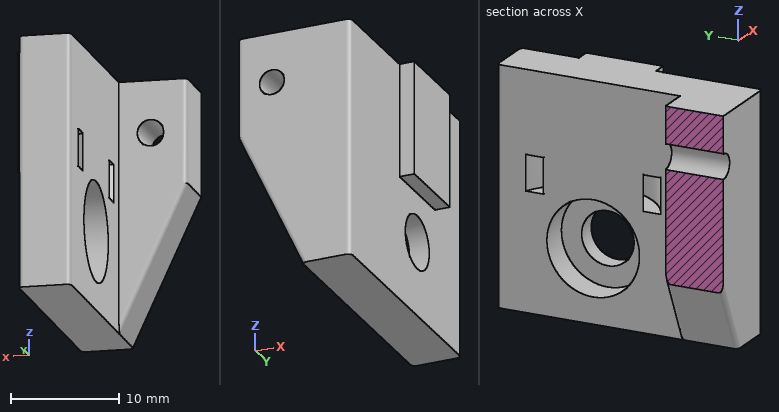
import cadquery as cq

width = 25.0
height = 24.0
body_depth = 11.5
plate_thickness = 5.0
plate_face_x = body_depth - plate_thickness
edge_radius = 0.5

arm_width = 6.0
arm_straight_height = 10.0
pin_diameter = 2.5
pin_x = 3.5
pin_below_top = 5.0

key_depth = 1.5
key_width = 8.0
key_height = 11.5

screw_y = 15.0
screw_z = 7.5
screw_diameter = 5.4
counterbore_diameter = 9.6
counterbore_depth = 3.0

channel_center_x = 3.5
channel_outer_radius = 7.6
channel_inner_radius = 6.0
channel_bottom_z = 12.0
channel_height = 3.6


def make_arm():
    """Tapered arm with rounded long edges, reaching the back of the plate."""
    side_outline = [
        (0, height),
        (body_depth, height),
        (body_depth, 0),
        (plate_face_x, 0),
        (0, height - arm_straight_height),
    ]
    arm = cq.Workplane("XZ").polyline(side_outline).close().extrude(-arm_width)
    front_edges = arm.faces("<X").edges("|Z")
    slope_edges = arm.edges("not(|X or |Y or |Z)")
    back_edge = arm.faces(">X").edges("<Y")
    arm = front_edges.add(slope_edges).add(back_edge).fillet(edge_radius)
    pin_hole = (
        cq.Workplane("XZ")
        .center(pin_x, height - pin_below_top)
        .circle(pin_diameter / 2)
        .extrude(-arm_width)
    )
    return arm.cut(pin_hole)


def make_plate():
    """Plate with its far vertical edges rounded; it starts inside the arm."""
    plate_start_y = arm_width / 2
    return (
        cq.Workplane("XY")
        .box(plate_thickness, width - plate_start_y, height, centered=False)
        .translate((plate_face_x, plate_start_y, 0))
        .edges("|Z and >Y")
        .fillet(edge_radius)
    )


def make_key():
    """Rectangular key flush with the top of the body."""
    return (
        cq.Workplane("XY")
        .box(key_depth, key_width, key_height, centered=False)
        .translate((body_depth, screw_y - key_width / 2, height - key_height))
    )


def make_screw_hole():
    """Through hole with a counterbore sunk from the plate face."""
    face = cq.Workplane("YZ", origin=(plate_face_x, screw_y, screw_z))
    hole = face.circle(screw_diameter / 2).extrude(plate_thickness + key_depth)
    counterbore = face.circle(counterbore_diameter / 2).extrude(counterbore_depth)
    return hole.union(counterbore)


def make_tie_channel():
    """Ring about a vertical axis in front of the plate."""
    return (
        cq.Workplane("XY", origin=(channel_center_x, screw_y, channel_bottom_z))
        .circle(channel_outer_radius)
        .circle(channel_inner_radius)
        .extrude(channel_height)
    )


plate = make_plate().union(make_key()).cut(make_screw_hole()).cut(make_tie_channel())
result = plate.union(make_arm())